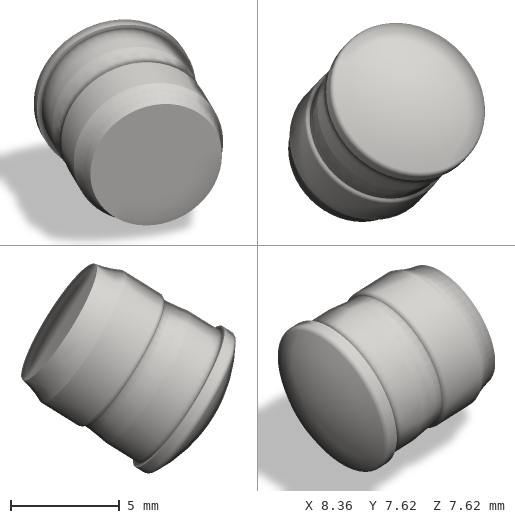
import cadquery as cq
import math

length = 8.36
flange_radius = 3.81
body_radius = 3.58
neck_radius = 3.44
tip_radius = 3.15

flange_round_end = 1.27
flange_back = 1.75
taper_start = 3.495
neck_start = 4.56
shoulder_round_end = 5.07
nose_start = 7.08

edge_round = 0.25
nose_hollow = 0.05

round_centre_radius = flange_radius - edge_round
dome_radius = (flange_round_end**2 + round_centre_radius**2 - edge_round**2) / (
    2 * (flange_round_end - edge_round)
)
dome_angle = math.asin(round_centre_radius / (dome_radius - edge_round))


def arc_point(centre_x, centre_r, radius, angle):
    """Point on a profile arc, with the angle measured from -X toward the outside."""
    return (centre_x - radius * math.cos(angle), centre_r + radius * math.sin(angle))


dome_middle = arc_point(dome_radius, 0, dome_radius, dome_angle / 2)
dome_edge = arc_point(dome_radius, 0, dome_radius, dome_angle)
flange_round_middle = arc_point(
    flange_round_end, round_centre_radius, edge_round, (dome_angle + math.pi / 2) / 2
)

shoulder_centre_radius = body_radius - edge_round
shoulder_angle = math.asin((neck_radius - shoulder_centre_radius) / edge_round)
shoulder_foot = arc_point(shoulder_round_end, shoulder_centre_radius, edge_round, shoulder_angle)
shoulder_middle = arc_point(
    shoulder_round_end, shoulder_centre_radius, edge_round, (shoulder_angle + math.pi / 2) / 2
)

nose_drop = body_radius - tip_radius
nose_length = length - nose_start
nose_chord = math.hypot(nose_length, nose_drop)
nose_middle = (
    (nose_start + length) / 2 - nose_hollow * nose_drop / nose_chord,
    (body_radius + tip_radius) / 2 - nose_hollow * nose_length / nose_chord,
)

profile = (
    cq.Workplane("XY")
    .moveTo(0, 0)
    .threePointArc(dome_middle, dome_edge)
    .threePointArc(flange_round_middle, (flange_round_end, flange_radius))
    .lineTo(flange_back, flange_radius)
    .lineTo(flange_back, body_radius)
    .lineTo(taper_start, body_radius)
    .lineTo(neck_start, neck_radius)
    .lineTo(*shoulder_foot)
    .threePointArc(shoulder_middle, (shoulder_round_end, body_radius))
    .lineTo(nose_start, body_radius)
    .threePointArc(nose_middle, (length, tip_radius))
    .lineTo(length, 0)
    .close()
)

result = profile.revolve(360, (0, 0, 0), (1, 0, 0))